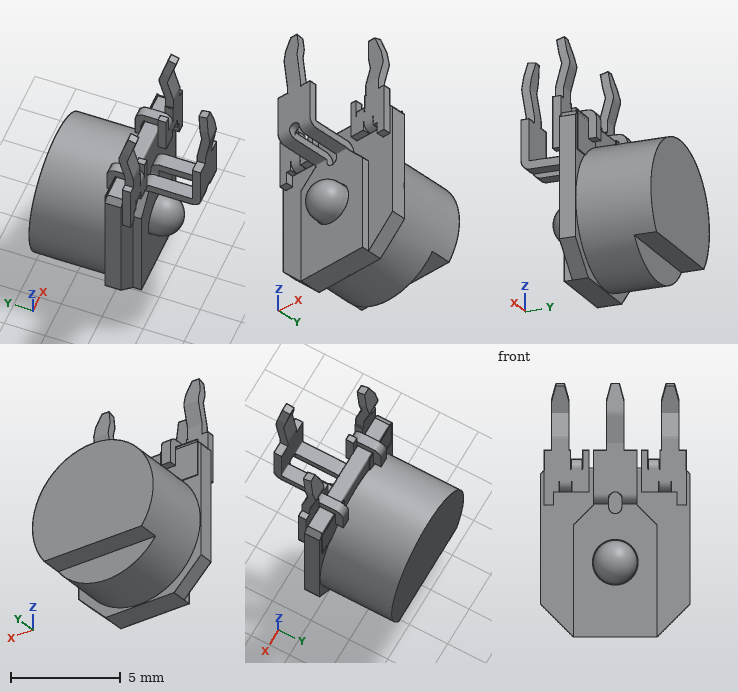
import cadquery as cq
import math


base_half_width = 3.4
base_bottom = -base_half_width
base_top = 4.29
base_thickness = 0.8
base_lower_chamfer = 1.5
base_upper_chamfer = 0.28
base_edge_radius = 0.1
housing_radius = 3.35
housing_back = 4.52
step_front = 3.41
step_height = -1.98

sheet = 0.4
bend_inner = 0.05
bend_outer = bend_inner + sheet
shoulder_top = 5.1

centre_half_width = base_half_width - base_lower_chamfer
centre_neck_half_width = 0.99
centre_bend_start = 2.61
centre_shoulder_z = centre_bend_start - (centre_half_width - centre_neck_half_width)
arm_top = centre_bend_start + bend_outer
arm_bottom = arm_top - sheet
arm_front = -2.94
slot_half_width = 0.3
slot_bottom = 2.21
slot_top = 3.19

dome_radius = 1.0
dome_centre_y = -0.69
dome_hole_radius = 1.04

clip_inner = 1.19
clip_outer = 3.23
clip_bottom = 3.19
leg_inner = 2.8
leg_bottom = 2.6
upper_notch = (1.49, 2.03)
upper_notch_bottom = 4.22
lower_notch = (1.96, 2.56)
lower_notch_top = 3.68
tab_clearance = 0.02
tab_back_end = 3.3

back_pad_bottom = 2.4
back_pad_thickness = bend_inner

pin_half_width = 0.4
pin_tip_half_width = 0.2
pin_taper_length = 0.78
pin_top = 8.13
pin_kink = 6.78
centre_pin_bend = 5.42
centre_pin_tilt = 9.5
centre_kink_inner = 0.33
side_pin_bend = 5.62
side_pin_tilt = 15.5
side_kink_inner = 0.01
side_pin_x = 2.5


def box(x_min, x_max, y_min, y_max, z_min, z_max):
    size = (x_max - x_min, y_max - y_min, z_max - z_min)
    return cq.Workplane("XY").box(*size, centered=False).translate((x_min, y_min, z_min))


def cylinder_y(radius, y_min, y_max):
    return cq.Workplane("XZ", origin=(0, y_max, 0)).circle(radius).extrude(y_max - y_min)


def sheet_plate(points):
    """Plate of sheet thickness with an outline in X and Z, lying on the front of the base."""
    return cq.Workplane("XZ").polyline(points).close().extrude(sheet)


def bend(x_min, x_max, y, z, y_side, z_side):
    """Quarter-ring bend about (y, z), on the given Y and Z sides of its axis."""
    diagonal = math.sqrt(0.5)

    def at(radius, y_part, z_part):
        return (y + y_side * radius * y_part, z + z_side * radius * z_part)

    return (
        cq.Workplane("YZ", origin=(x_min, 0, 0))
        .moveTo(*at(bend_inner, 1, 0))
        .lineTo(*at(bend_outer, 1, 0))
        .threePointArc(at(bend_outer, diagonal, diagonal), at(bend_outer, 0, 1))
        .lineTo(*at(bend_inner, 0, 1))
        .threePointArc(at(bend_inner, diagonal, diagonal), at(bend_inner, 1, 0))
        .close()
        .extrude(x_max - x_min)
    )


def pin(x_centre, concave_y, direction, bend_z, tilt_degrees, kink_inner):
    """Kinked, tapered pin; its kink points along Y in the given direction (+1 or -1)."""
    sine = math.sin(math.radians(tilt_degrees))
    cosine = math.cos(math.radians(tilt_degrees))
    kink_outer = kink_inner + sheet

    foot_u = sheet - sheet * cosine
    foot_z = bend_z + sheet * sine
    axis_u = foot_u + (pin_kink - foot_z) * sine / cosine - kink_inner / cosine

    def at(u, z):
        return (concave_y + direction * u, z)

    def on_kink(radius, side):
        return at(axis_u + radius * cosine, pin_kink + side * radius * sine)

    lower = (
        cq.Workplane("YZ", origin=(x_centre - pin_half_width, 0, 0))
        .moveTo(*at(0, shoulder_top))
        .lineTo(*at(sheet, shoulder_top))
        .lineTo(*at(sheet, bend_z))
        .lineTo(*on_kink(kink_outer, -1))
        .threePointArc(at(axis_u + kink_outer, pin_kink), on_kink(kink_outer, 1))
        .lineTo(*on_kink(kink_inner, 1))
        .threePointArc(at(axis_u + kink_inner, pin_kink), on_kink(kink_inner, -1))
        .lineTo(*at(foot_u, foot_z))
        .lineTo(*at(0, bend_z))
        .close()
        .extrude(2 * pin_half_width)
    )

    leg_length = (pin_top - pin_kink - kink_outer * sine) / cosine
    leg_plane = cq.Plane(
        origin=(x_centre, *on_kink(kink_inner, 1)),
        xDir=(-direction, 0, 0),
        normal=(0, direction * cosine, sine),
    )
    upper = (
        cq.Workplane(leg_plane)
        .polyline(
            [
                (-pin_half_width, 0),
                (pin_half_width, 0),
                (pin_half_width, leg_length - pin_taper_length),
                (pin_tip_half_width, leg_length),
                (-pin_tip_half_width, leg_length),
                (-pin_half_width, leg_length - pin_taper_length),
            ]
        )
        .close()
        .extrude(sheet)
    )
    return lower.union(upper)


def make_base():
    plate = box(-base_half_width, base_half_width, 0, base_thickness, base_bottom, base_top)
    plate = plate.edges("|Y and <Z").chamfer(base_lower_chamfer)
    plate = plate.edges("|Y and >Z").chamfer(base_upper_chamfer)
    return plate.faces(">Z").edges("|X").fillet(base_edge_radius)


def make_housing():
    housing = cylinder_y(housing_radius, 0, housing_back)
    step = box(
        -housing_radius, housing_radius, step_front, housing_back, -housing_radius, step_height
    )
    return housing.cut(step)


def make_dome():
    stem = cylinder_y(dome_radius, dome_centre_y, 0)
    return stem.union(cq.Workplane("XY").sphere(dome_radius).translate((0, dome_centre_y, 0)))


def make_centre_terminal():
    neck = centre_neck_half_width
    front_bend_y = arm_front + bend_outer
    front_bend_z = arm_bottom + bend_outer
    pad = sheet_plate(
        [
            (-centre_half_width, base_bottom),
            (centre_half_width, base_bottom),
            (centre_half_width, centre_shoulder_z),
            (neck, centre_bend_start),
            (-neck, centre_bend_start),
            (-centre_half_width, centre_shoulder_z),
        ]
    )
    terminal = (
        pad.union(bend(-neck, neck, -bend_outer, centre_bend_start, 1, 1))
        .union(box(-neck, neck, front_bend_y, -bend_outer, arm_bottom, arm_top))
        .union(bend(-neck, neck, front_bend_y, front_bend_z, -1, -1))
        .union(box(-neck, neck, arm_front, arm_front + sheet, front_bend_z, shoulder_top))
        .union(pin(0, arm_front + sheet, -1, centre_pin_bend, centre_pin_tilt, centre_kink_inner))
    )
    slot_height = slot_top - slot_bottom
    slot = (
        cq.Workplane("XZ")
        .center(0, slot_bottom + slot_height / 2)
        .slot2D(slot_height, 2 * slot_half_width, 90)
        .extrude(-arm_front)
    )
    arm_opening = box(
        -slot_half_width, slot_half_width, arm_front + sheet, 0, arm_bottom, arm_top
    )
    dome_hole = cylinder_y(dome_hole_radius, -sheet, 0)
    return terminal.cut(slot).cut(arm_opening).cut(dome_hole)


def make_side_terminal():
    notch_inner, notch_outer = upper_notch
    plate = sheet_plate(
        [
            (clip_inner, clip_bottom),
            (leg_inner, clip_bottom),
            (leg_inner, leg_bottom),
            (clip_outer, leg_bottom),
            (clip_outer, shoulder_top),
            (notch_outer, shoulder_top),
            (notch_outer, upper_notch_bottom),
            (notch_inner, upper_notch_bottom),
            (notch_inner, shoulder_top),
            (clip_inner, shoulder_top),
        ]
    )
    plate = plate.cut(box(*lower_notch, -sheet, 0, clip_bottom, lower_notch_top))

    tab_inner = notch_inner + tab_clearance
    tab_outer = notch_outer - tab_clearance
    upper_bend_z = base_top - bend_inner
    upper_tab = (
        box(tab_inner, tab_outer, -sheet, 0, upper_notch_bottom, upper_bend_z)
        .union(bend(tab_inner, tab_outer, bend_inner, upper_bend_z, -1, 1))
        .union(box(tab_inner, tab_outer, bend_inner, base_thickness, base_top, base_top + sheet))
        .union(bend(tab_inner, tab_outer, base_thickness, upper_bend_z, 1, 1))
        .union(
            box(
                tab_inner,
                tab_outer,
                base_thickness + bend_inner,
                base_thickness + bend_outer,
                tab_back_end,
                upper_bend_z,
            )
        )
    )

    lower_inner = lower_notch[0] + tab_clearance
    lower_outer = lower_notch[1] - tab_clearance
    lower_bend_z = clip_bottom + bend_outer
    lower_tab = box(lower_inner, lower_outer, -sheet, 0, lower_bend_z, lower_notch_top).union(
        bend(lower_inner, lower_outer, bend_inner, lower_bend_z, -1, -1)
    )
    side_pin = pin(side_pin_x, -sheet, 1, side_pin_bend, side_pin_tilt, side_kink_inner)
    return plate.union(upper_tab).union(lower_tab).union(side_pin)


def make_back_pad():
    pad_back = base_thickness + back_pad_thickness
    return box(clip_inner, clip_outer, base_thickness, pad_back, back_pad_bottom, base_top)


side_parts = make_side_terminal().union(make_back_pad())
result = (
    make_base()
    .union(make_housing())
    .union(make_centre_terminal())
    .union(make_dome())
    .union(side_parts)
    .union(side_parts.mirror("YZ"))
)